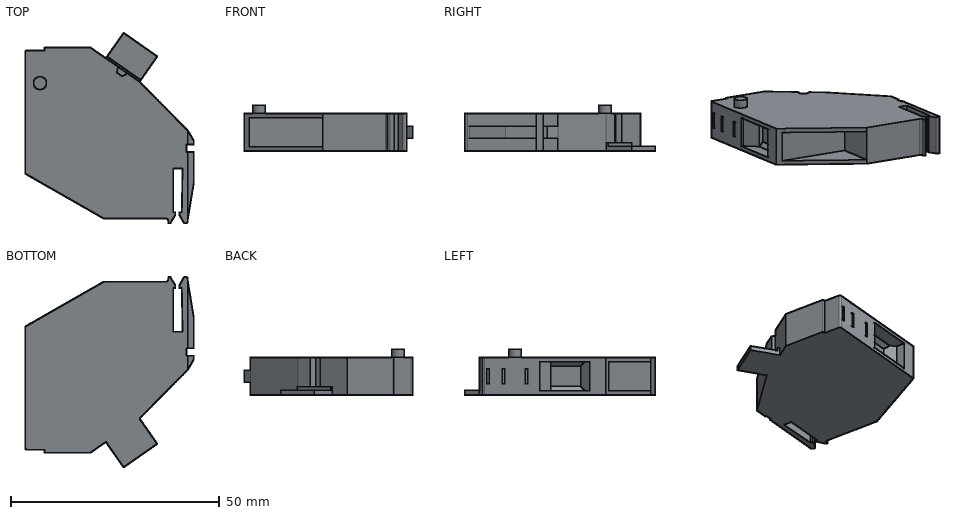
import cadquery as cq
import math

body_height = 9.0
side_wall = 1.0
corner_radius = 0.5

left_bottom_y = 11.95
top_left_y = 41.55
top_y = 42.25
top_step_x = 4.6
top_right_x = 15.7
connector_angle = 35
connector_slope = math.radians(connector_angle)
connector_edge = 14.5
right_x = 39.1
right_top_y = 22.3
bottom_y = 1.15
bottom_left_x = 18.9

slot_left_x = 35.55
slot_right_x = 37.75
slot_taper = 0.2
slot_top_y = 13.15
hook_top_y = 2.75
hook_nose_y = 2.0
left_nose_x = 36.05
right_nose_x = 37.05
left_hook_x = 34.35
left_tip_x = 34.85
tip_radius = 0.25
right_tip_radius = 0.6
right_hook_slope = 61

rib_x = 40.5
rib_bottom_z = 3.0
rib_height = 2.98
rib_shoulder_y = 19.85
rib_taper_y = 9.7
rib_foot_y = 1.15
notch_bottom_y = 17.2
notch_top_y = 18.9
notch_floor_x = 38.75

tongue_start = 4.5
tongue_width = 9.9
tongue_height = 1.2
tongue_corner_y = 45.75
tongue_root_y = top_y - tongue_start * math.sin(connector_slope)
tongue_length = (tongue_corner_y - tongue_root_y) / math.cos(connector_slope)
shoulder_length = 0.5
shoulder_height = 2.0
relief_mouth = 2.85
relief_floor = 1.6
relief_depth = 1.35

pin_x = 3.55
pin_y = 33.7
pin_diameter = 3.1
pin_height = 1.95

slit_centres_y = (30.95, 36.45, 40.2)
slit_width = 0.65
slit_bottom_z = 2.65
slit_length = 3.65
slit_depth = 0.4

window_low_y = 15.7
window_high_y = 27.7
window_low_slope = 2.25
window_high_slope = 2.6
window_high_run = 2.95
window_lip = 0.5
window_floor_slope = 1.05
window_throat_x = window_lip + window_high_run
window_floor_x = window_throat_x + window_floor_slope

pocket_roof_y = 11.2

pocket_bottom_z = side_wall
pocket_top_z = body_height - side_wall


def prism(points, bottom, top):
    """Closed XY outline extruded between two heights."""
    return cq.Workplane("XY").workplane(offset=bottom).polyline(points).close().extrude(top - bottom)


def round_corner(solid, x, y, radius):
    """Fillet the upright edge standing at (x, y)."""
    reach = 0.025
    box = cq.selectors.BoxSelector(
        (x - reach, y - reach, -0.45), (x + reach, y + reach, body_height + 0.45)
    )
    return solid.edges("|Z").edges(box).fillet(radius)


def on_connector_edge(along, outward):
    """XY point measured along the connector edge and square out from it."""
    x = top_right_x + along * math.cos(connector_slope) + outward * math.sin(connector_slope)
    y = top_y - along * math.sin(connector_slope) + outward * math.cos(connector_slope)
    return (x, y)


def make_body():
    slope = math.radians(right_hook_slope)
    arc_x = right_x - right_tip_radius
    arc_on_slope = (
        arc_x - right_tip_radius * math.sin(slope),
        right_tip_radius - right_tip_radius * math.cos(slope),
    )
    upper_outline = [
        (0, left_bottom_y),
        (0, top_left_y),
        (top_step_x, top_left_y),
        (top_step_x, top_y),
        (top_right_x, top_y),
        on_connector_edge(connector_edge, 0),
        (right_x, right_top_y),
        (right_x, right_tip_radius),
    ]
    foot_outline = [
        arc_on_slope,
        (right_nose_x, hook_nose_y),
        (right_nose_x, hook_top_y),
        (slot_right_x - slot_taper, hook_top_y),
        (slot_right_x, slot_top_y),
        (slot_left_x, slot_top_y),
        (slot_left_x, hook_top_y),
        (left_nose_x, hook_top_y),
        (left_nose_x, hook_nose_y),
        (left_tip_x, 0),
        (left_hook_x, 0),
        (left_hook_x, bottom_y),
        (bottom_left_x, bottom_y),
    ]
    body = (
        cq.Workplane("XY")
        .polyline(upper_outline)
        .threePointArc((arc_x, 0), arc_on_slope)
        .polyline(foot_outline)
        .close()
        .extrude(body_height)
    )
    body = round_corner(body, 0, top_left_y, corner_radius)
    body = round_corner(body, top_step_x, top_y, tip_radius)
    body = round_corner(body, left_hook_x, bottom_y, corner_radius)
    body = round_corner(body, left_hook_x, 0, tip_radius)
    return round_corner(body, left_tip_x, 0, tip_radius)


def make_rib():
    outline = [
        (right_x, right_top_y),
        (rib_x, rib_shoulder_y),
        (rib_x, rib_taper_y),
        (right_x, rib_foot_y),
    ]
    return prism(outline, rib_bottom_z, rib_bottom_z + rib_height)


def make_notch():
    width = rib_x - notch_floor_x
    return cq.Workplane("XY").box(
        width, notch_top_y - notch_bottom_y, body_height, centered=False
    ).translate((notch_floor_x, notch_bottom_y, 0))


def make_tongue(length, height):
    root = -relief_depth
    end = tongue_start + tongue_width
    outline = [
        on_connector_edge(tongue_start, root),
        on_connector_edge(tongue_start, length),
        on_connector_edge(end, length),
        on_connector_edge(end, root),
    ]
    return prism(outline, 0, height)


def make_relief():
    centre = tongue_start + tongue_width / 2
    outline = [
        on_connector_edge(centre - relief_mouth / 2, 0),
        on_connector_edge(centre + relief_mouth / 2, 0),
        on_connector_edge(centre + relief_floor / 2, -relief_depth),
        on_connector_edge(centre - relief_floor / 2, -relief_depth),
    ]
    return prism(outline, tongue_height, body_height)


def make_pin():
    base = cq.Workplane("XY").workplane(offset=body_height)
    return base.center(pin_x, pin_y).circle(pin_diameter / 2).extrude(pin_height)


def make_slit(centre_y):
    return cq.Workplane("XY").box(
        slit_depth, slit_width, slit_length, centered=(False, True, False)
    ).translate((0, centre_y, slit_bottom_z))


def make_window():
    plan = [
        (0, window_low_y),
        (window_floor_x - window_low_slope, window_low_y),
        (window_floor_x, window_low_y + window_low_slope),
        (window_floor_x, window_high_y - window_high_slope),
        (window_throat_x, window_high_y - window_high_slope),
        (window_lip, window_high_y),
        (0, window_high_y),
    ]
    section = [
        (0, pocket_bottom_z),
        (window_throat_x, pocket_bottom_z),
        (window_floor_x, pocket_bottom_z + window_floor_slope),
        (window_floor_x, pocket_top_z - window_floor_slope),
        (window_throat_x, pocket_top_z),
        (0, pocket_top_z),
    ]
    side = cq.Workplane("XZ", origin=(0, window_high_y, 0)).polyline(section).close()
    return prism(plan, pocket_bottom_z, pocket_top_z).intersect(
        side.extrude(window_high_y - window_low_y)
    )


def make_pocket():
    slope = (left_bottom_y - bottom_y) / bottom_left_x
    start_x = (left_bottom_y - pocket_roof_y) / slope
    outline = [
        (start_x, pocket_roof_y),
        (bottom_left_x, pocket_roof_y),
        (bottom_left_x, bottom_y),
    ]
    return prism(outline, pocket_bottom_z, pocket_top_z)


result = make_body().union(make_rib()).cut(make_notch())
result = result.cut(make_relief())
result = result.union(make_tongue(tongue_length, tongue_height))
result = result.union(make_tongue(shoulder_length, shoulder_height).cut(make_relief()))
result = result.union(make_pin())
for slit_y in slit_centres_y:
    result = result.cut(make_slit(slit_y))
result = result.cut(make_window()).cut(make_pocket())